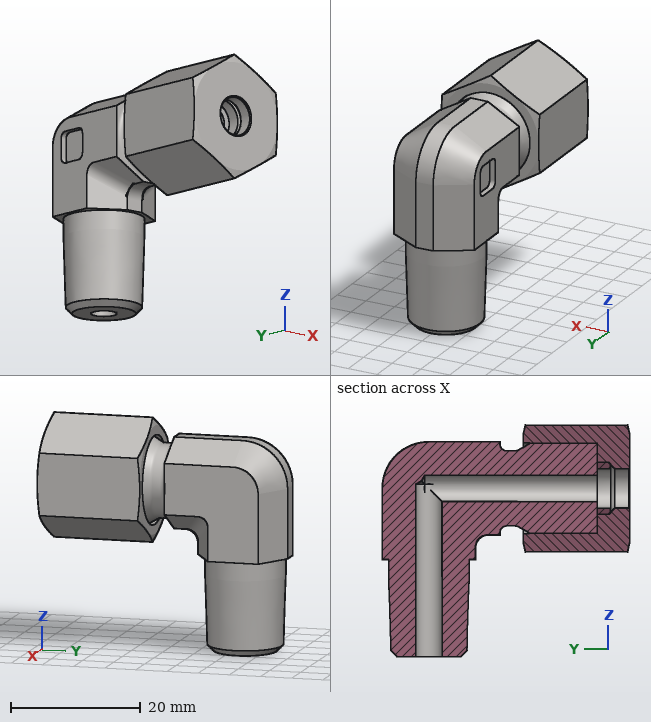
import cadquery as cq
import math


overall_length = 38.22

block_flats = 14.0
block_trim = 14.4
block_length = 11.0
inner_fillet = 2.0

half_flats = block_flats / 2
half_trim = block_trim / 2
block_corner_radius = block_flats / math.sqrt(3)
trim_half_width = (block_corner_radius - half_trim) * math.sqrt(3)
flat_half_height = block_corner_radius / 2

leg_length = 26.0
bore_diameter = 4.0
bore_overrun = 0.6
drill_point_angle = 118.0

stud_diameter = 12.55
stud_straight_length = 3.0
stud_taper = 1 / 16
end_chamfer = 1.0

neck_diameter = 11.7
spigot_diameter = 14.0
neck_radius = 1.0
neck_straight_end = 13.35
neck_flare_angle = 30.0

plate_size = 5.0
plate_corner_radius = 1.0
plate_offset = -0.5
plate_depth = 1.0

nut_flats = 17.0
nut_front = overall_length - half_trim
nut_length = 16.47
nut_chamfer_angle = 15.0
tube_hole_diameter = 6.0
tube_hole_chamfer = 0.2
lip_thickness = 2.3

ring_diameter = 8.0
ring_face_setback = 0.7

lip_back = nut_front - lip_thickness
ring_front = lip_back - ring_face_setback
ring_face_radius = tube_hole_diameter / 2 + ring_face_setback
ring_cylinder_end = ring_front - (ring_diameter / 2 - ring_face_radius)

axis_start = (0, 0, 0)
axis_end = (0, 1, 0)


def along_leg(solid):
    """Turn a solid made along +Z so that it lies along -Y."""
    return solid.rotate((0, 0, 0), (1, 0, 0), 90)


def block_section():
    """Trimmed hexagon of a leg; its trimmed corners lie on local Y."""
    upper_half = [
        (half_flats, flat_half_height),
        (trim_half_width, half_trim),
        (-trim_half_width, half_trim),
        (-half_flats, flat_half_height),
    ]
    lower_half = [(-x, -y) for x, y in upper_half]
    return cq.Workplane("XY").polyline(upper_half + lower_half).close()


def elbow_block():
    """Both hexagonal legs, joined by a rounded back and a filleted inside corner."""
    leg = block_section().extrude(block_length)
    down_leg = leg.mirror("XY")
    front_leg = along_leg(leg)
    bend = (
        cq.Workplane("XY")
        .polyline([
            (-half_flats, 0),
            (-half_flats, flat_half_height),
            (-trim_half_width, half_trim),
            (trim_half_width, half_trim),
            (half_flats, flat_half_height),
            (half_flats, 0),
        ])
        .close()
        .revolve(90, (0, 0, 0), (1, 0, 0))
    )
    block = down_leg.union(front_leg).union(bend).clean()
    margin = 0.4
    inside_corner = cq.selectors.BoxSelector(
        (-half_flats, -half_trim - margin, -half_trim - margin),
        (half_flats, -flat_half_height - margin, -flat_half_height - margin),
    )
    return block.edges(inside_corner).fillet(inner_fillet)


def threaded_stud():
    """Taper stud below the block, with a chamfered end."""
    top_radius = stud_diameter / 2
    taper_start = block_length + stud_straight_length
    taper_end = leg_length - end_chamfer
    end_radius = top_radius - stud_taper * (taper_end - taper_start) / 2
    return (
        cq.Workplane("XZ")
        .polyline([
            (0, -block_length),
            (top_radius, -block_length),
            (top_radius, -taper_start),
            (end_radius, -taper_end),
            (end_radius - end_chamfer, -leg_length),
            (0, -leg_length),
        ])
        .close()
        .revolve(360, axis_start, axis_end)
    )


def neck_and_spigot():
    """Necked leg along -Y; its spigot is the part that enters the nut."""
    radius = neck_diameter / 2
    spigot_radius = spigot_diameter / 2
    flare = math.radians(neck_flare_angle)
    arc_middle = math.radians(45)
    neck_start = block_length + neck_radius
    arc_end_radius = radius + neck_radius * (1 - math.cos(flare))
    arc_end = neck_straight_end + neck_radius * math.sin(flare)
    spigot_start = arc_end + (spigot_radius - arc_end_radius) / math.tan(flare)
    profile = (
        cq.Workplane("XZ")
        .moveTo(0, block_length)
        .lineTo(radius + neck_radius, block_length)
        .threePointArc(
            (
                radius + neck_radius * (1 - math.cos(arc_middle)),
                neck_start - neck_radius * math.sin(arc_middle),
            ),
            (radius, neck_start),
        )
        .lineTo(radius, neck_straight_end)
        .threePointArc(
            (
                radius + neck_radius * (1 - math.cos(flare / 2)),
                neck_straight_end + neck_radius * math.sin(flare / 2),
            ),
            (arc_end_radius, arc_end),
        )
        .lineTo(spigot_radius, spigot_start)
        .lineTo(spigot_radius, leg_length)
        .lineTo(0, leg_length)
        .close()
    )
    return along_leg(profile.revolve(360, axis_start, axis_end))


def drilled_bore():
    """Bore of one leg, made along +Z, ending in a drill point past the origin."""
    radius = bore_diameter / 2
    point_height = radius / math.tan(math.radians(drill_point_angle / 2))
    return (
        cq.Workplane("XZ")
        .polyline([
            (0, leg_length),
            (radius, leg_length),
            (radius, -bore_overrun),
            (0, -bore_overrun - point_height),
        ])
        .close()
        .revolve(360, axis_start, axis_end)
    )


def plate_recess():
    """Rounded square pocket in the flat that faces -X."""
    return (
        cq.Workplane("YZ", origin=(-half_flats, plate_offset, plate_offset))
        .rect(plate_size, plate_size)
        .extrude(plate_depth)
        .edges("|X")
        .fillet(plate_corner_radius)
    )


def make_elbow():
    """One-piece elbow with its stud, spigot, bores and plate recess."""
    bore = drilled_bore()
    return (
        elbow_block()
        .union(threaded_stud())
        .union(neck_and_spigot())
        .cut(bore.mirror("XY"))
        .cut(along_leg(bore))
        .cut(plate_recess())
    )


def make_nut():
    """Hexagon nut around the spigot, made along +Z with its front face on top."""
    rear = nut_front - nut_length
    flat_radius = nut_flats / 2
    corner_radius = nut_flats / math.sqrt(3)
    chamfer_height = (corner_radius - flat_radius) * math.tan(math.radians(nut_chamfer_angle))
    hexagon = (
        cq.Workplane("XY", origin=(0, 0, rear))
        .polygon(6, 2 * corner_radius)
        .extrude(nut_length)
        .rotate((0, 0, 0), (0, 0, 1), 30)
    )
    corner_chamfers = (
        cq.Workplane("XZ")
        .polyline([
            (0, rear),
            (flat_radius, rear),
            (corner_radius, rear + chamfer_height),
            (corner_radius, nut_front - chamfer_height),
            (flat_radius, nut_front),
            (0, nut_front),
        ])
        .close()
        .revolve(360, axis_start, axis_end)
    )
    nut = (
        hexagon.intersect(corner_chamfers)
        .faces(">Z")
        .workplane()
        .hole(tube_hole_diameter)
        .faces(">Z")
        .edges("%CIRCLE")
        .edges(cq.selectors.RadiusNthSelector(0))
        .chamfer(tube_hole_chamfer)
    )
    cavity = (
        cq.Workplane("XZ")
        .polyline([
            (0, rear),
            (spigot_diameter / 2, rear),
            (spigot_diameter / 2, leg_length),
            (ring_diameter / 2, leg_length),
            (ring_diameter / 2, ring_cylinder_end),
            (tube_hole_diameter / 2, lip_back),
            (0, lip_back),
        ])
        .close()
        .revolve(360, axis_start, axis_end)
    )
    return along_leg(nut.cut(cavity))


def make_ring():
    """Ring resting on the end of the spigot, its front edge against the nut's cone."""
    ring = (
        cq.Workplane("XZ")
        .polyline([
            (tube_hole_diameter / 2, leg_length),
            (ring_diameter / 2, leg_length),
            (ring_diameter / 2, ring_cylinder_end),
            (ring_face_radius, ring_front),
            (tube_hole_diameter / 2, ring_front),
        ])
        .close()
        .revolve(360, axis_start, axis_end)
    )
    return along_leg(ring)


elbow = make_elbow()
nut = make_nut()
ring = make_ring()

result = cq.Compound.makeCompound([elbow.val(), nut.val(), ring.val()])